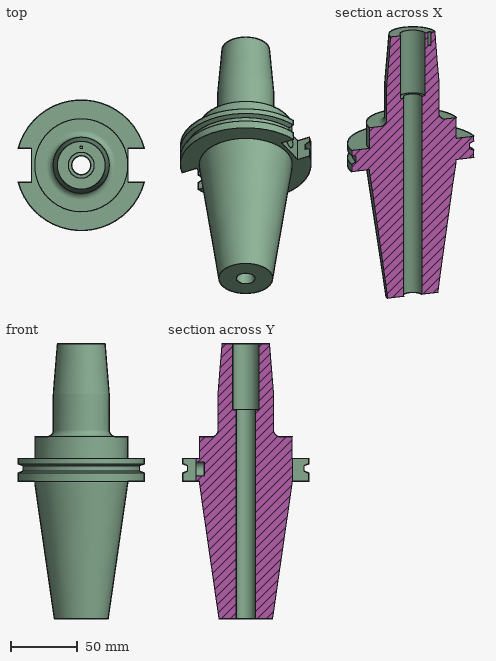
import cadquery as cq
import math

total_height = 206.5
taper_top = 101.6
flange_bottom = 103.3
flange_top = 120.5
collar_top = 136.8
nose_bottom = 168.5

flange_diameter = 98.1
taper_end_radius = 20.2
flange_radius = flange_diameter / 2
collar_radius = 35.0
neck_radius = 21.0
nose_radius = 18.0
neck_fillet = 5.0

groove_depth = 3.5
groove_root_bottom = 111.0
groove_root_top = 114.9
groove_mouth_bottom = 109.5
groove_mouth_top = 116.3

bore_radius = 7.0
socket_radius = 9.7
socket_depth = 49.5

nose_hole_radius = 1.0
nose_hole_offset = 13.5
nose_hole_depth = 10.3

slot_width = 25.5
left_slot_floor = 37.4
right_slot_floor = 35.1

slot_hole_radius = 5.2
slot_hole_height = 112.5
slot_hole_depth = 6.2


def make_body():
    """Revolve the outer profile, including the flange groove and neck fillet."""
    groove_root_radius = flange_radius - groove_depth
    fillet_center_radius = neck_radius + neck_fillet
    fillet_center_height = collar_top + neck_fillet
    fillet_reach = neck_fillet * math.sqrt(0.5)
    fillet_middle = (fillet_center_radius - fillet_reach, fillet_center_height - fillet_reach)
    return (
        cq.Workplane("XZ")
        .lineTo(taper_end_radius, 0)
        .lineTo(collar_radius, taper_top)
        .lineTo(collar_radius, flange_bottom)
        .lineTo(flange_radius, flange_bottom)
        .lineTo(flange_radius, groove_mouth_bottom)
        .lineTo(groove_root_radius, groove_root_bottom)
        .lineTo(groove_root_radius, groove_root_top)
        .lineTo(flange_radius, groove_mouth_top)
        .lineTo(flange_radius, flange_top)
        .lineTo(collar_radius, flange_top)
        .lineTo(collar_radius, collar_top)
        .lineTo(fillet_center_radius, collar_top)
        .threePointArc(fillet_middle, (neck_radius, fillet_center_height))
        .lineTo(neck_radius, nose_bottom)
        .lineTo(nose_radius, total_height)
        .lineTo(0, total_height)
        .close()
        .revolve(360, (0, 0), (0, 1))
    )


def drive_slot(floor, side):
    """Block that cuts a drive slot; side is -1 for the -X side and +1 for the +X side."""
    slot_depth = flange_radius - floor
    return (
        cq.Workplane("XY", origin=(side * (floor + slot_depth / 2), 0, flange_bottom))
        .rect(slot_depth, slot_width)
        .extrude(flange_top - flange_bottom)
    )


def hole_from_nose(radius, depth, offset=0):
    """Cylinder that runs down from the nose face, offset along Y."""
    return cq.Workplane("XY", origin=(0, offset, total_height)).circle(radius).extrude(-depth)


def slot_hole():
    """Cylinder that runs along +X from the left slot floor."""
    return (
        cq.Workplane("YZ", origin=(-left_slot_floor, 0, slot_hole_height))
        .circle(slot_hole_radius)
        .extrude(slot_hole_depth)
    )


result = (
    make_body()
    .cut(drive_slot(left_slot_floor, -1))
    .cut(drive_slot(right_slot_floor, 1))
    .cut(slot_hole())
    .cut(hole_from_nose(bore_radius, total_height))
    .cut(hole_from_nose(socket_radius, socket_depth))
    .cut(hole_from_nose(nose_hole_radius, nose_hole_depth, nose_hole_offset))
)